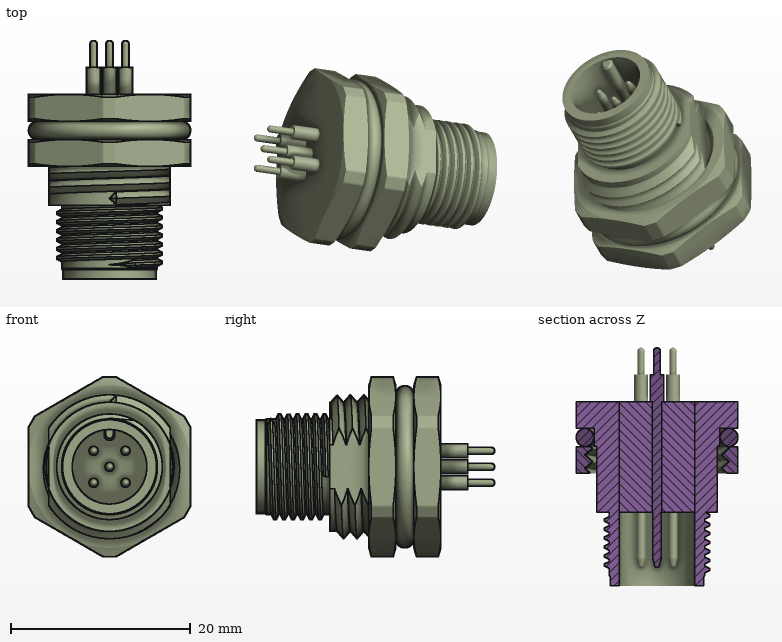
import cadquery as cq
import math

LENGTH = 26.5

RIM_LENGTH = 1.0
RIM_CHAMFER_END = 1.2
SHOULDER = 8.2
NUT_START = 12.5
HEX_THICKNESS = 3.0
FLANGE_END = 20.5
SLEEVE_END = 23.5
NUT_END = NUT_START + HEX_THICKNESS
FLANGE_START = FLANGE_END - HEX_THICKNESS
RING_SECTION = FLANGE_START - NUT_END

HEX_ACROSS_FLATS = 18.05
HEX_ACROSS_CORNERS = 20.0
HEX_CORNER_FILLET = 0.5
HEX_CHAMFER_DEPTH = 0.3

RIM_DIAMETER = 10.45
BARREL_DIAMETER = 10.65
BODY_DIAMETER = 14.35
FLAT_WIDTH = 13.5
GROOVE_DIAMETER = HEX_ACROSS_FLATS - 2 * RING_SECTION
BORE_DIAMETER = 8.3

BARREL_SIX_TURNS = 6.0
BARREL_PITCH = BARREL_SIX_TURNS / 6
BARREL_CREST_DIAMETER = 11.75
BARREL_THREAD_BASE = 0.82
BARREL_CREST_WIDTH = 0.26
BARREL_THREAD_START = 1.6
BARREL_RUN_IN = 2.84
BARREL_TIP_RISE = 0.08
BARREL_TURNS = 6.2

BODY_PITCH = 1.5 * BARREL_PITCH
BODY_CREST_DIAMETER = 16.0
BODY_THREAD_BASE = 1.45
BODY_CREST_WIDTH = 0
BODY_THREAD_START = 8.95
BODY_RUN_IN = 0.8
BODY_TIP_RISE = 0
BODY_TURNS = 5

RIDGE_SINK = 0.013

INSERT_FACE = 8.2
KEY_FRONT = 0.26
KEY_WIDTH = 1.22
KEY_TIP_HEIGHT = 2.95
KEY_CHAMFER = 0.2

PIN_OFFSET = 1.78
PIN_DIAMETER = 1.0
PIN_FRONT = 2.07
PIN_TAPER_LENGTH = 0.8
PIN_NOSE_DIAMETER = 0.58
PIN_NOSE_LENGTH = 0.19
SLEEVE_DIAMETER = 1.6
TAIL_DIAMETER = 0.8


def rod(diameter, start, end):
    """Cylinder around the Y axis from one station to another."""
    return cq.Workplane("XZ", origin=(0, start, 0)).circle(diameter / 2).extrude(start - end)


def cone(start_diameter, start, end_diameter, end):
    """Truncated cone around the Y axis."""
    disc = cq.Workplane("XZ", origin=(0, start, 0)).circle(start_diameter / 2)
    return disc.workplane(offset=start - end).circle(end_diameter / 2).loft()


def hexagon(start):
    """Hexagonal plate with flats on +X and -X, trimmed corners and chamfers on both faces."""
    end = start + HEX_THICKNESS
    point_to_point = HEX_ACROSS_FLATS / math.cos(math.radians(30))
    base = cq.Workplane("XZ", origin=(0, start, 0))
    plate = base.transformed(rotate=(0, 0, 30)).polygon(6, point_to_point).extrude(-HEX_THICKNESS)
    trim = base.polygon(6, HEX_ACROSS_CORNERS / math.cos(math.radians(30))).extrude(-HEX_THICKNESS)
    plate = plate.intersect(trim).edges("|Y").fillet(HEX_CORNER_FILLET)
    face_radius = HEX_ACROSS_FLATS / 2
    point_radius = point_to_point / 2
    chamfer_slope = HEX_CHAMFER_DEPTH / (HEX_ACROSS_CORNERS / 2 - face_radius)
    point_depth = chamfer_slope * (point_radius - face_radius)
    chamfered_disc = (
        cq.Workplane("XY")
        .polyline([
            (0, start),
            (face_radius, start),
            (point_radius, start + point_depth),
            (point_radius, end - point_depth),
            (face_radius, end),
            (0, end),
        ])
        .close()
        .revolve(360, (0, 0, 0), (0, 1, 0))
    )
    return plate.intersect(chamfered_disc)


def thread_ridge(root_diameter, crest_diameter, base, crest, pitch, turns, start, run_in):
    """Right-handed ridge that rises out of the core at the top (+Z) and winds towards +Y."""
    sunk = root_diameter / 2 - RIDGE_SINK
    peak = crest_diameter / 2
    run_in_angle = math.degrees(math.asin(run_in / peak))
    first = start + pitch * run_in_angle / 360
    half_base = base / 2
    half_crest = crest / 2
    outline = [(sunk, -half_base), (peak, -half_crest)]
    if crest > 0:
        outline.append((peak, half_crest))
    outline.append((sunk, half_base))
    path = cq.Wire.makeHelix(pitch, pitch * turns, sunk)
    ridge = cq.Workplane("XZ").polyline(outline).close().sweep(path, isFrenet=True)
    ridge = ridge.rotate((0, 0, 0), (1, 0, 0), -90)
    ridge = ridge.rotate((0, 0, 0), (0, 1, 0), run_in_angle - 90)
    return ridge.translate((0, first, 0))


def wedge_run_in(root_diameter, crest_diameter, base, crest, pitch, start, run_in, tip_rise):
    """Wedge that leads from a short upright edge at the top of the core to the full thread section."""
    root = root_diameter / 2
    sunk = root - RIDGE_SINK
    peak = crest_diameter / 2
    angle = math.asin(run_in / peak)
    first = start + pitch * angle / (2 * math.pi)

    def section_point(radius, shift):
        return cq.Vector(radius * math.sin(angle), first + shift, radius * math.cos(angle))

    section = [section_point(sunk, -base / 2), section_point(peak, -crest / 2)]
    if crest > 0:
        section.append(section_point(peak, crest / 2))
    section.append(section_point(sunk, base / 2))
    tip_bottom = cq.Vector(0, start, sunk)
    tip_top = cq.Vector(0, start, root + tip_rise)
    outlines = [
        section,
        [section[0], section[-1], tip_bottom],
        [section[0], tip_top, tip_bottom],
        [section[-1], tip_top, tip_bottom],
    ]
    for corner, next_corner in zip(section, section[1:]):
        outlines.append([corner, next_corner, tip_top])
    faces = [cq.Face.makeFromWires(cq.Wire.makePolygon(outline, close=True)) for outline in outlines]
    return cq.Workplane(cq.Solid.makeSolid(cq.Shell.makeShell(faces)))


def threaded(core, root_diameter, crest_diameter, base, crest, pitch, turns, start, run_in, tip_rise):
    """The core with one thread and its run-in added."""
    ridge = thread_ridge(root_diameter, crest_diameter, base, crest, pitch, turns, start, run_in)
    lead = wedge_run_in(root_diameter, crest_diameter, base, crest, pitch, start, run_in, tip_rise)
    return core.union(ridge).union(lead)


mounting_thread = threaded(
    rod(BODY_DIAMETER, SHOULDER, NUT_END + BODY_PITCH),
    root_diameter=BODY_DIAMETER,
    crest_diameter=BODY_CREST_DIAMETER,
    base=BODY_THREAD_BASE,
    crest=BODY_CREST_WIDTH,
    pitch=BODY_PITCH,
    turns=BODY_TURNS,
    start=BODY_THREAD_START,
    run_in=BODY_RUN_IN,
    tip_rise=BODY_TIP_RISE,
)
mounting_thread = mounting_thread.intersect(rod(HEX_ACROSS_FLATS, SHOULDER, NUT_END))


def make_housing():
    """Metal shell: threaded barrel, flatted mounting thread, ring groove and hexagonal flange."""
    rim = rod(RIM_DIAMETER, 0, RIM_LENGTH)
    rim_chamfer = cone(RIM_DIAMETER, RIM_LENGTH, BARREL_DIAMETER, RIM_CHAMFER_END)
    barrel = threaded(
        rod(BARREL_DIAMETER, RIM_CHAMFER_END, SHOULDER + BARREL_PITCH),
        root_diameter=BARREL_DIAMETER,
        crest_diameter=BARREL_CREST_DIAMETER,
        base=BARREL_THREAD_BASE,
        crest=BARREL_CREST_WIDTH,
        pitch=BARREL_PITCH,
        turns=BARREL_TURNS,
        start=BARREL_THREAD_START,
        run_in=BARREL_RUN_IN,
        tip_rise=BARREL_TIP_RISE,
    )
    thread_length = NUT_END - SHOULDER
    flats = cq.Workplane("XY").box(FLAT_WIDTH, thread_length, HEX_ACROSS_FLATS)
    flats = flats.translate((0, SHOULDER + thread_length / 2, 0))
    flatted_body = mounting_thread.intersect(flats)
    neck = rod(GROOVE_DIAMETER, NUT_END, FLANGE_START)
    housing = rim.union(rim_chamfer).union(barrel).union(flatted_body).union(neck)
    housing = housing.union(hexagon(FLANGE_START))
    return housing.cut(rod(BORE_DIAMETER, 0, FLANGE_END))


def make_nut():
    """Hexagonal nut whose thread fits the mounting thread."""
    return hexagon(NUT_START).cut(mounting_thread)


def make_sealing_ring():
    """O-ring in the groove between the nut and the flange."""
    section_radius = RING_SECTION / 2
    centre_radius = HEX_ACROSS_FLATS / 2 - section_radius
    section = cq.Workplane("XY", origin=(centre_radius, NUT_END + section_radius, 0)).circle(section_radius)
    return section.revolve(360, (-centre_radius, 0, 0), (-centre_radius, 1, 0))


def make_insert(pin_positions):
    """Contact carrier that fills the bore, with a chamfered coding key and holes for the pins."""
    carrier = rod(BORE_DIAMETER, INSERT_FACE, FLANGE_END)
    half_width = KEY_WIDTH / 2
    arc_centre = KEY_TIP_HEIGHT + half_width
    key = (
        cq.Workplane("XZ", origin=(0, KEY_FRONT, 0))
        .moveTo(-half_width, BORE_DIAMETER)
        .lineTo(-half_width, arc_centre)
        .threePointArc((0, KEY_TIP_HEIGHT), (half_width, arc_centre))
        .lineTo(half_width, BORE_DIAMETER)
        .close()
        .extrude(KEY_FRONT - INSERT_FACE)
        .faces("<Y")
        .chamfer(KEY_CHAMFER)
        .intersect(rod(BORE_DIAMETER, KEY_FRONT, INSERT_FACE))
    )
    insert = carrier.union(key)
    for x, z in pin_positions:
        insert = insert.cut(rod(PIN_DIAMETER, INSERT_FACE, FLANGE_END).translate((x, 0, z)))
    return insert


def make_pin(x, z):
    """Contact pin: tapered plug end, shank, thick sleeve behind the insert and a domed solder tail."""
    nose_radius = PIN_NOSE_DIAMETER / 2
    taper_start = PIN_FRONT + PIN_NOSE_LENGTH
    taper_end = taper_start + PIN_TAPER_LENGTH
    tail_radius = TAIL_DIAMETER / 2
    tail_end = LENGTH - tail_radius
    diagonal = math.sqrt(0.5)
    return (
        cq.Workplane("XY")
        .moveTo(0, PIN_FRONT)
        .threePointArc(
            (nose_radius * diagonal, taper_start - PIN_NOSE_LENGTH * diagonal),
            (nose_radius, taper_start),
        )
        .lineTo(PIN_DIAMETER / 2, taper_end)
        .lineTo(PIN_DIAMETER / 2, FLANGE_END)
        .lineTo(SLEEVE_DIAMETER / 2, FLANGE_END)
        .lineTo(SLEEVE_DIAMETER / 2, SLEEVE_END)
        .lineTo(tail_radius, SLEEVE_END)
        .lineTo(tail_radius, tail_end)
        .threePointArc((tail_radius * diagonal, tail_end + tail_radius * diagonal), (0, LENGTH))
        .close()
        .revolve(360, (0, 0, 0), (0, 1, 0))
        .translate((x, 0, z))
    )


pin_positions = [(0, 0)]
for x_side in (-1, 1):
    for z_side in (-1, 1):
        pin_positions.append((x_side * PIN_OFFSET, z_side * PIN_OFFSET))

housing = make_housing()
nut = make_nut()
sealing_ring = make_sealing_ring()
insert = make_insert(pin_positions)
pins = [make_pin(x, z).val() for x, z in pin_positions]

result = cq.Compound.makeCompound([
    housing.val(),
    nut.val(),
    sealing_ring.val(),
    insert.val(),
    *pins,
])